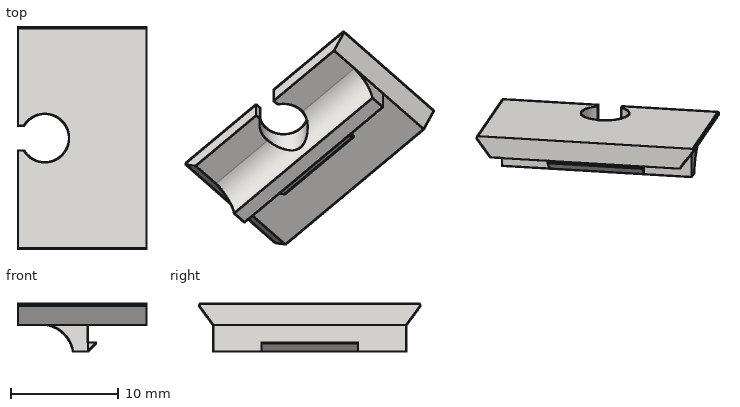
import cadquery as cq

plate_width = 12.0
plate_length = 20.7
plate_thickness = 2.0
edge_bevel_drop = 0.2
edge_bevel_run = 0.1
underside_length = 18.05

hole_x = 2.5
hole_radius = 2.25
slot_width = 2.28

total_height = 4.5
leg_front_top_x = 2.71
leg_front_bottom_x = 5.13
leg_back_x = 6.52
leg_front_radius = 3.0

hook_reach = 0.77
hook_top_depth = 3.62
hook_tip_height = 0.1
hook_length = underside_length / 2


def extrude_along_y(outline, length):
    """Extrude an XZ outline symmetrically about the XZ plane."""
    return outline.extrude(length / 2, both=True)


def make_plate():
    half_length = plate_length / 2
    half_top = half_length - edge_bevel_run
    half_underside = underside_length / 2
    return (
        cq.Workplane("YZ")
        .moveTo(-half_top, 0)
        .lineTo(half_top, 0)
        .lineTo(half_length, -edge_bevel_drop)
        .lineTo(half_underside, -plate_thickness)
        .lineTo(-half_underside, -plate_thickness)
        .lineTo(-half_length, -edge_bevel_drop)
        .close()
        .extrude(plate_width)
    )


def make_leg():
    outline = (
        cq.Workplane("XZ")
        .moveTo(leg_front_top_x, -plate_thickness)
        .radiusArc((leg_front_bottom_x, -total_height), leg_front_radius)
        .lineTo(leg_back_x, -total_height)
        .lineTo(leg_back_x, -plate_thickness)
        .close()
    )
    return extrude_along_y(outline, underside_length)


def make_hook():
    tip_x = leg_back_x + hook_reach
    outline = (
        cq.Workplane("XZ")
        .moveTo(leg_back_x, -hook_top_depth)
        .lineTo(tip_x, -hook_top_depth)
        .lineTo(tip_x, -hook_top_depth - hook_tip_height)
        .lineTo(leg_back_x, -total_height)
        .close()
    )
    return extrude_along_y(outline, hook_length)


def make_keyhole():
    hole = cq.Workplane("XY").center(hole_x, 0).circle(hole_radius).extrude(-total_height)
    slot = (
        cq.Workplane("XY")
        .center(hole_x / 2, 0)
        .rect(hole_x, slot_width)
        .extrude(-total_height)
    )
    return hole.union(slot)


result = make_plate().union(make_leg()).cut(make_keyhole()).union(make_hook())